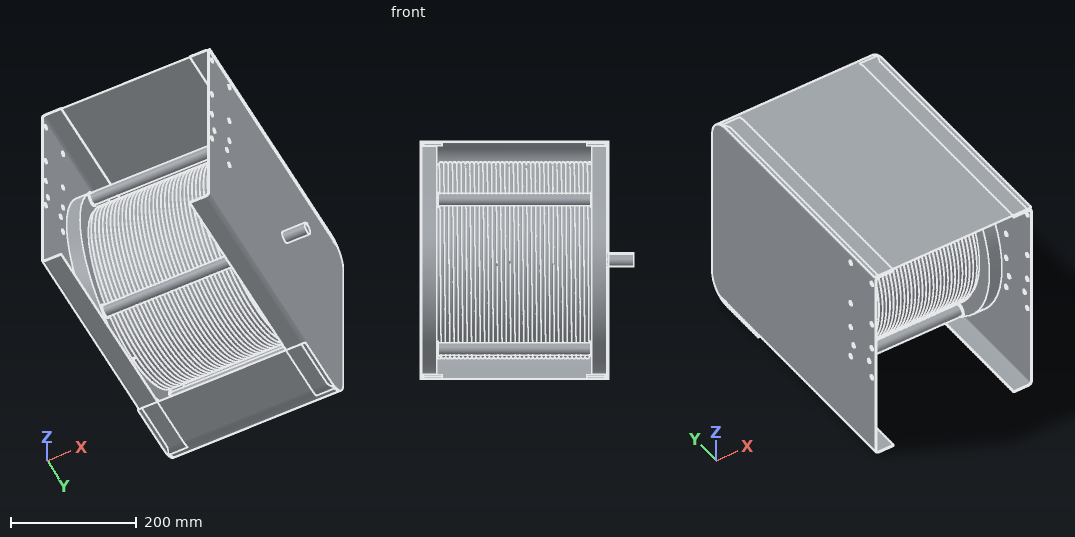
import cadquery as cq
import math

width = 300.0
length = 468.0
height = 378.0
wrap_thickness = 1.0
wrap_corner_radius = 42.0
wrap_front_setback = 2.0
wrap_bottom_length = 133.0
panel_thickness = 3.0
bend_radius = 7.5
flange_width = 35.0
flange_rear_gap = 26.0

hole_diameter = 8.0
hole_columns = (10.0, 70.0)
hole_rows = (168.5, 82.0, 31.0, -31.5)
inner_hole_columns = (18.0, 62.2)
inner_hole_row = -2.5

drum_y = 29.5
disc_diameter = 362.5
disc_thickness = 24.0
rope_outer_diameter = 313.0
rope_radius = 3.35
rope_turns = 34.5
rope_overlap = 1.5
rope_end_gap = 0.5
rod_diameter = 20.0
collar_diameter = 24.0
collar_length = 2.0
rod_circle_radius = 171.0
rod_angle = 34.4
rod_count = 4

shaft_diameter = 20.0
shaft_projection = 40.2
key_width = 3.7
key_height = 2.0

half_width = width / 2
front_y = -length / 2
back_y = length / 2
panel_height = height - 2 * wrap_thickness
panel_back_y = back_y - wrap_thickness
panel_corner_radius = wrap_corner_radius - wrap_thickness
disc_inner_x = half_width - panel_thickness - disc_thickness
winding_length = 2 * (disc_inner_x - rope_radius - rope_end_gap)


def box_between(x_min, x_max, y_min, y_max, z_min, z_max):
    """Box given by its limits along each axis."""
    size = (x_max - x_min, y_max - y_min, z_max - z_min)
    return cq.Workplane("XY").box(*size, centered=False).translate((x_min, y_min, z_min))


def x_cylinder(diameter, x_start, x_end, y=0.0, z=0.0):
    """Cylinder along X with its axis at the given Y and Z."""
    plane = cq.Workplane("YZ", origin=(x_start, y, z))
    return plane.circle(diameter / 2).extrude(x_end - x_start)


def rounded_slab(x_start, x_end, y_front, y_rear, slab_height, corner_radius):
    """Plate or block in the YZ plane with both rear corners rounded."""
    block = box_between(x_start, x_end, y_front, y_rear, -slab_height / 2, slab_height / 2)
    return block.edges("|X and >Y").fillet(corner_radius)


def make_wrap():
    """Thin sheet over the top, down the back and a short way under the bottom."""
    top_front_y = front_y + wrap_front_setback
    outer = rounded_slab(-half_width, half_width, top_front_y, back_y, height, wrap_corner_radius)
    inner = rounded_slab(
        -half_width, half_width, top_front_y, panel_back_y, panel_height, panel_corner_radius
    )
    bottom_opening = box_between(
        -half_width, half_width, front_y, back_y - wrap_bottom_length, -height / 2, 0
    )
    return outer.cut(inner).cut(bottom_opening)


def make_left_panel():
    """Side panel with inward flanges bent along its edges and stopping short of the back."""
    inner_x = -half_width + panel_thickness
    flange_end_x = -half_width + flange_width
    half_height = panel_height / 2
    hollow_half_height = half_height - panel_thickness
    outer_bend = box_between(
        -half_width, flange_end_x, front_y, panel_back_y, -half_height, half_height
    ).edges("|Y and <X").fillet(bend_radius)
    outline = rounded_slab(
        -half_width, flange_end_x, front_y, panel_back_y, panel_height, panel_corner_radius
    )
    inner_bend = box_between(
        inner_x, half_width, front_y, panel_back_y, -hollow_half_height, hollow_half_height
    ).edges("|Y and <X").fillet(bend_radius - panel_thickness)
    inner_outline = rounded_slab(
        inner_x,
        half_width,
        front_y,
        panel_back_y - panel_thickness,
        2 * hollow_half_height,
        panel_corner_radius - panel_thickness,
    )
    rear_clearance = box_between(
        inner_x, half_width, back_y - flange_rear_gap, back_y, -half_height, half_height
    )
    panel = outer_bend.intersect(outline)
    return panel.cut(inner_bend.intersect(inner_outline)).cut(rear_clearance)


def make_rope(core_radius):
    """Right-handed helical winding whose outer half stands proud of the drum core."""
    path = cq.Wire.makeHelix(winding_length / rope_turns, winding_length, core_radius)
    section = (
        cq.Workplane("XZ", origin=(core_radius, 0, 0))
        .moveTo(-rope_overlap, -rope_radius)
        .lineTo(0, -rope_radius)
        .threePointArc((rope_radius, 0), (0, rope_radius))
        .lineTo(-rope_overlap, rope_radius)
        .close()
    )
    rope = section.sweep(cq.Workplane(path), isFrenet=True)
    return rope.rotate((0, 0, 0), (0, 1, 0), 90).translate((-winding_length / 2, 0, 0))


def make_rod(y, z):
    """Tie rod between the end discs with a collar against each disc."""
    rod = x_cylinder(rod_diameter, -disc_inner_x, disc_inner_x, y, z)
    for side in (-1, 1):
        collar_inner_x = side * (disc_inner_x - collar_length)
        rod = rod.union(x_cylinder(collar_diameter, collar_inner_x, side * disc_inner_x, y, z))
    return rod


def make_drum():
    """Two end discs, a rope-wound core between them and the tie rods."""
    core_radius = rope_outer_diameter / 2 - rope_radius
    core = x_cylinder(2 * core_radius - rope_overlap, -disc_inner_x, disc_inner_x)
    drum = core.union(make_rope(core_radius))
    for side in (-1, 1):
        disc_outer_x = side * (half_width - panel_thickness)
        drum = drum.union(x_cylinder(disc_diameter, side * disc_inner_x, disc_outer_x))
    for index in range(rod_count):
        angle = math.radians(rod_angle + index * 360 / rod_count)
        rod_y = -rod_circle_radius * math.cos(angle)
        rod_z = rod_circle_radius * math.sin(angle)
        drum = drum.union(make_rod(rod_y, rod_z))
    return drum.translate((0, drum_y, 0))


def make_holes():
    """Through cutters for the mounting holes in both side panels."""
    places = [(column, row) for column in hole_columns for row in hole_rows]
    places += [(column, inner_hole_row) for column in inner_hole_columns]
    points = [(front_y + column, row) for column, row in places]
    plane = cq.Workplane("YZ", origin=(-half_width, 0, 0))
    return plane.pushPoints(points).circle(hole_diameter / 2).extrude(width)


def make_shaft():
    """Drive shaft through the right panel with a key along its top."""
    end_x = half_width + shaft_projection
    key_top_z = shaft_diameter / 2 + key_height
    key = box_between(
        half_width, end_x, drum_y - key_width / 2, drum_y + key_width / 2, 0, key_top_z
    )
    return x_cylinder(shaft_diameter, disc_inner_x, end_x, drum_y).union(key)


left_panel = make_left_panel()
right_panel = left_panel.mirror("YZ")
housing = make_wrap().union(left_panel).union(right_panel).cut(make_holes())
result = housing.union(make_drum()).union(make_shaft())